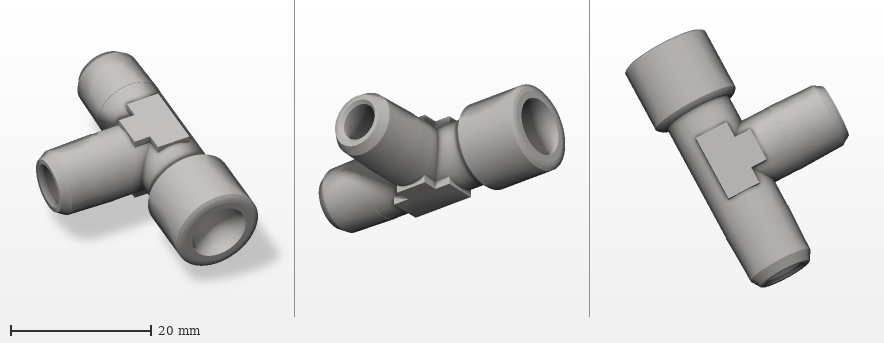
import cadquery as cq

total_length = 37.0
body_diameter = 10.0
body_radius = body_diameter / 2

male_reach = 17.5
thread_length = 8.5
tip_length = 1.37
thread_root_diameter = 10.1
thread_front_diameter = 9.7
tip_diameter = 8.0

bore_diameter = 5.5
mouth_diameter = 6.5
mouth_depth = (mouth_diameter - bore_diameter) / 2

female_reach = total_length - male_reach
female_diameter = 13.0
female_length = 10.5
shoulder_diameter = 11.0
shoulder_length = 0.75
rim_face_diameter = 10.73
rim_length = 0.5
edge_round_radius = 1.78
socket_diameter = 8.6
socket_depth = 10.0

pad_width = body_diameter
pad_depth = pad_width / 2
pad_stem_width = pad_width / 2
pad_stem_end = -body_radius
pad_outer_height = 5.5
pad_thickness = 1.22


def revolve_about_x(points):
    """Revolve an (axial position, radius) outline about the X axis."""
    return cq.Workplane("XY").polyline(points).close().revolve(360, (0, 0, 0), (1, 0, 0))


def toward_branch(shape):
    """Turn a shape made along -X so that it points along -Y."""
    return shape.rotate((0, 0, 0), (0, 0, 1), 90)


def male_arm():
    thread_start = -male_reach + thread_length
    tip_start = -male_reach + tip_length
    return revolve_about_x([
        (0, 0),
        (0, body_radius),
        (thread_start, body_radius),
        (thread_start, thread_root_diameter / 2),
        (tip_start, thread_front_diameter / 2),
        (-male_reach, tip_diameter / 2),
        (-male_reach, 0),
    ])


def male_bore():
    return revolve_about_x([
        (0, 0),
        (0, bore_diameter / 2),
        (-male_reach + mouth_depth, bore_diameter / 2),
        (-male_reach, mouth_diameter / 2),
        (-male_reach, 0),
    ])


def female_arm():
    shoulder_start = female_reach - female_length
    outline = (
        cq.Workplane("XY")
        .lineTo(0, body_radius)
        .lineTo(shoulder_start, body_radius)
        .lineTo(shoulder_start, shoulder_diameter / 2)
        .radiusArc((shoulder_start + shoulder_length, female_diameter / 2), edge_round_radius)
        .lineTo(female_reach - rim_length, female_diameter / 2)
        .radiusArc((female_reach, rim_face_diameter / 2), edge_round_radius)
        .lineTo(female_reach, 0)
        .close()
    )
    return outline.revolve(360, (0, 0, 0), (1, 0, 0))


def run_bore():
    socket_floor = female_reach - socket_depth
    return revolve_about_x([
        (-male_reach, 0),
        (-male_reach, mouth_diameter / 2),
        (-male_reach + mouth_depth, bore_diameter / 2),
        (socket_floor, bore_diameter / 2),
        (socket_floor, socket_diameter / 2),
        (female_reach, socket_diameter / 2),
        (female_reach, 0),
    ])


def top_pad():
    stem_length = pad_depth / 2 - pad_stem_end
    pad_plane = cq.Workplane("XY").workplane(offset=pad_outer_height - pad_thickness)
    bar = pad_plane.rect(pad_width, pad_depth).extrude(pad_thickness)
    stem = (
        pad_plane.center(0, pad_stem_end + stem_length / 2)
        .rect(pad_stem_width, stem_length)
        .extrude(pad_thickness)
    )
    return bar.union(stem)


pad = top_pad()
body = male_arm().union(female_arm()).union(toward_branch(male_arm()))
body = body.union(pad).union(pad.mirror("XY"))

result = body.cut(run_bore()).cut(toward_branch(male_bore()))